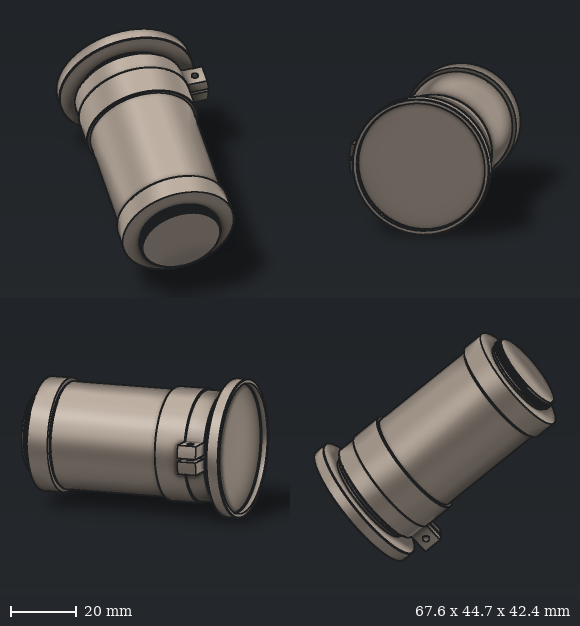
import cadquery as cq
import math

LENGTH = 67.6
EDGE_BREAK = 0.2

FLANGE_RADIUS = 21.2
FLANGE_END = 3.9
RECESS_RADIUS = 19.95
RECESS_DEPTH = 2.2
RECESS_BEVEL_LENGTH = 0.4
RECESS_BEVEL_HEIGHT = 0.15
WINDOW_THICKNESS = 1.0

NECK_END = 5.0
NECK_RADIUS = 14.8
STEP_END = 6.1
STEP_RADIUS = 15.4
SEAT_RADIUS = 16.35

CLAMP_START = 6.5
CLAMP_END = 12.45
CLAMP_RADIUS = 17.05
EAR_REACH = 23.5
EAR_HEIGHT = 4.45
EAR_FILLET = 0.75
SLIT_WIDTH = 1.1
SCREW_HOLE_DIAMETER = 1.95
SCREW_HOLE_Y = 19.95

COLLAR_RADIUS = 17.5
FRONT_COLLAR_END = 22.25
BARREL_RADIUS = 16.5
GROOVE_START = 56.45
GROOVE_END = 57.15
GROOVE_RADIUS = 15.95
REAR_COLLAR_END = 63.75

MOUNT_NECK_RADIUS = 12.05
THREAD_START = 64.5
THREAD_ROOT_RADIUS = 12.25
THREAD_CREST_RADIUS = 12.7
THREAD_PITCH = 0.79
THREAD_TURNS = 3
THREAD_BASE_WIDTH = 0.6
THREAD_CREST_WIDTH = 0.15
THREAD_LEAD_IN = 0.1
THREAD_OVERLAP = 0.1


def cylinder(start, end, radius):
    """Cylinder about the X axis between two stations."""
    return cq.Workplane("YZ").workplane(offset=start).circle(radius).extrude(end - start)


def make_flange():
    flange = cylinder(0, FLANGE_END, FLANGE_RADIUS).edges().chamfer(EDGE_BREAK)
    floor = RECESS_DEPTH + WINDOW_THICKNESS
    seat_radius = RECESS_RADIUS - RECESS_BEVEL_HEIGHT
    recess = (
        cq.Workplane("XY")
        .moveTo(0, 0)
        .lineTo(0, RECESS_RADIUS)
        .lineTo(RECESS_DEPTH - RECESS_BEVEL_LENGTH, RECESS_RADIUS)
        .lineTo(RECESS_DEPTH, seat_radius)
        .lineTo(floor, seat_radius)
        .lineTo(floor, 0)
        .close()
        .revolve(360, (0, 0, 0), (1, 0, 0))
    )
    return flange.cut(recess)


def make_threaded_mount():
    """Round core with a helical ridge, sunk slightly into it so that the two fuse."""
    inner_radius = THREAD_ROOT_RADIUS - THREAD_OVERLAP
    half_base = THREAD_BASE_WIDTH / 2
    half_crest = THREAD_CREST_WIDTH / 2
    helix = cq.Wire.makeHelix(THREAD_PITCH, THREAD_PITCH * THREAD_TURNS, inner_radius)
    ridge = (
        cq.Workplane("XZ")
        .moveTo(inner_radius, -half_base)
        .lineTo(THREAD_CREST_RADIUS, -half_crest)
        .lineTo(THREAD_CREST_RADIUS, half_crest)
        .lineTo(inner_radius, half_base)
        .close()
        .sweep(cq.Workplane(helix), isFrenet=True)
    )
    first_turn = THREAD_START + THREAD_LEAD_IN + half_base
    ridge = ridge.rotate((0, 0, 0), (0, 1, 0), 90).translate((first_turn, 0, 0))
    return cylinder(THREAD_START, LENGTH, THREAD_ROOT_RADIUS).union(ridge)


def make_housing():
    front_collar = cylinder(CLAMP_END, FRONT_COLLAR_END, COLLAR_RADIUS).edges().chamfer(EDGE_BREAK)
    sections = [
        cylinder(FLANGE_END, NECK_END, NECK_RADIUS),
        cylinder(NECK_END, STEP_END, STEP_RADIUS),
        cylinder(STEP_END, CLAMP_END, SEAT_RADIUS),
        front_collar,
        cylinder(FRONT_COLLAR_END, GROOVE_START, BARREL_RADIUS),
        cylinder(GROOVE_START, GROOVE_END, GROOVE_RADIUS),
        cylinder(GROOVE_END, REAR_COLLAR_END, COLLAR_RADIUS),
        cylinder(REAR_COLLAR_END, THREAD_START, MOUNT_NECK_RADIUS),
        make_threaded_mount(),
    ]
    housing = make_flange()
    for section in sections:
        housing = housing.union(section)
    return housing


def make_window():
    return cylinder(RECESS_DEPTH, RECESS_DEPTH + WINDOW_THICKNESS, RECESS_RADIUS - RECESS_BEVEL_HEIGHT)


def make_clamp():
    width = CLAMP_END - CLAMP_START
    middle = (CLAMP_START + CLAMP_END) / 2
    ring = cylinder(CLAMP_START, CLAMP_END, CLAMP_RADIUS)
    ears = cq.Workplane("XY").box(width, EAR_REACH, 2 * EAR_HEIGHT, centered=(True, False, True))
    ears = ears.translate((middle, 0, 0)).intersect(cylinder(CLAMP_START, CLAMP_END, EAR_REACH))
    root_y = math.sqrt(CLAMP_RADIUS**2 - EAR_HEIGHT**2)
    clamp = ring.union(ears)
    for side in (-1, 1):
        root = cq.NearestToPointSelector((middle, root_y, side * EAR_HEIGHT))
        clamp = clamp.edges("|X").edges(root).fillet(EAR_FILLET)
    slit = (
        cq.Workplane("XY")
        .box(width, EAR_REACH, SLIT_WIDTH, centered=(True, False, True))
        .translate((middle, 0, 0))
    )
    screw_hole = (
        cq.Workplane("XY")
        .center(middle, SCREW_HOLE_Y)
        .circle(SCREW_HOLE_DIAMETER / 2)
        .extrude(EAR_HEIGHT, both=True)
    )
    bore = cylinder(CLAMP_START, CLAMP_END, SEAT_RADIUS)
    return clamp.cut(bore).cut(slit).cut(screw_hole)


housing = make_housing()
window = make_window()
clamp = make_clamp()

result = cq.Compound.makeCompound([housing.solids().val(), window.val(), clamp.solids().val()])